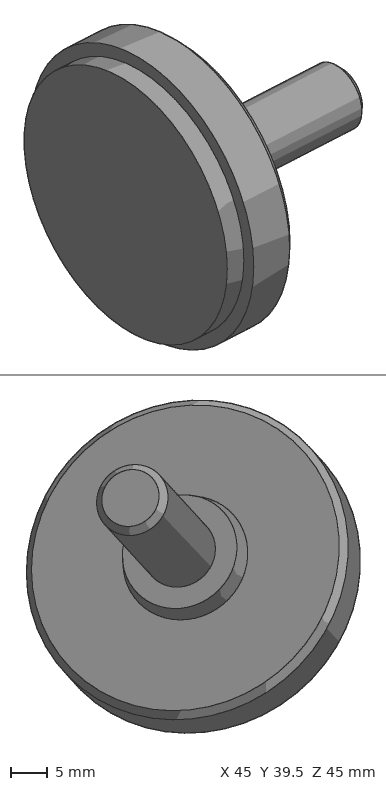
import cadquery as cq

disc_diameter = 45.0
disc_thickness = 7.5
pad_diameter = 41.0
pad_thickness = 3.0
collar_base_diameter = 17.45
collar_top_diameter = 16.0
collar_height = 3.0
stud_diameter = 10.0
overall_length = 39.5
edge_chamfer = 1.0

disc_front = pad_thickness
disc_back = disc_front + disc_thickness
collar_end = disc_back + collar_height

disc_radius = disc_diameter / 2
pad_radius = pad_diameter / 2
stud_radius = stud_diameter / 2

half_section = (
    cq.Workplane("XY")
    .moveTo(0, 0)
    .lineTo(pad_radius, 0)
    .lineTo(pad_radius, disc_front)
    .lineTo(disc_radius, disc_front)
    .lineTo(disc_radius, disc_back - edge_chamfer)
    .lineTo(disc_radius - edge_chamfer, disc_back)
    .lineTo(collar_base_diameter / 2, disc_back)
    .lineTo(collar_top_diameter / 2, collar_end)
    .lineTo(stud_radius, collar_end)
    .lineTo(stud_radius, overall_length - edge_chamfer)
    .lineTo(stud_radius - edge_chamfer, overall_length)
    .lineTo(0, overall_length)
    .close()
)

result = half_section.revolve(360, (0, 0, 0), (0, 1, 0))